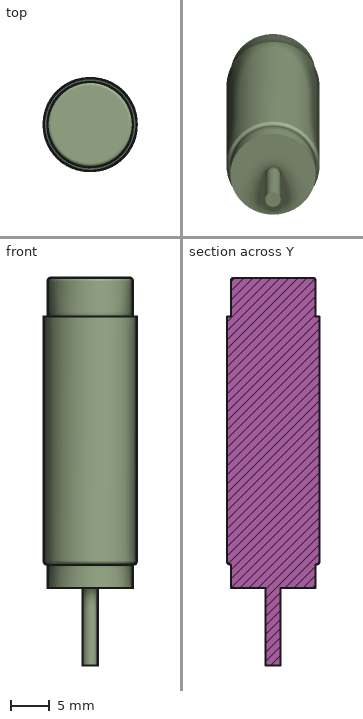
import cadquery as cq

total_height = 50.0
cable_length = 10.0
rear_cap_length = 3.0
front_cap_length = 5.0
body_length = total_height - cable_length - rear_cap_length - front_cap_length

body_diameter = 12.0
cap_diameter = 11.0
cable_diameter = 2.0
edge_round = 0.5


def cylinder(diameter, bottom, length):
    """Upright cylinder centred on the Z axis."""
    return cq.Workplane("XY").workplane(offset=bottom).circle(diameter / 2).extrude(length)


rear_cap_bottom = cable_length
body_bottom = rear_cap_bottom + rear_cap_length
front_cap_bottom = body_bottom + body_length

cable = cylinder(cable_diameter, 0, cable_length)
rear_cap = cylinder(cap_diameter, rear_cap_bottom, rear_cap_length)

body = cylinder(body_diameter, body_bottom, body_length).faces("<Z").edges().fillet(edge_round)

front_cap = cylinder(cap_diameter, front_cap_bottom, front_cap_length).faces(">Z").edges().fillet(edge_round)

result = cable.union(rear_cap).union(body).union(front_cap)